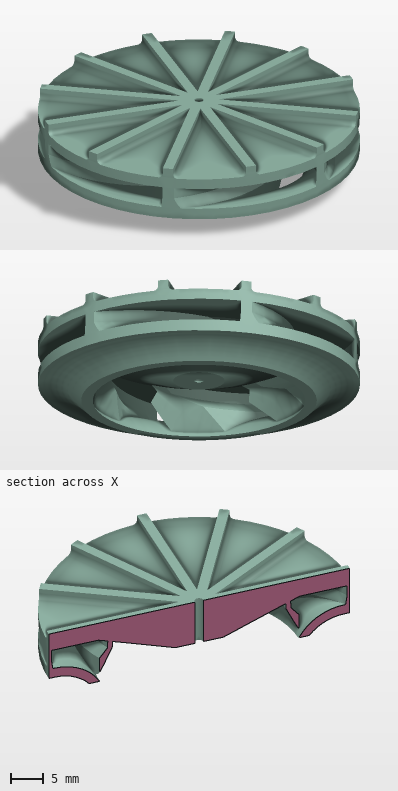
import cadquery as cq
import math

outer_radius = 24.65
total_height = 11.0

rib_height = 1.65
rib_width = 1.6
rib_fillet = 0.75
rib_bar_count = 6
back_disc_thickness = 1.65
back_disc_top = total_height - rib_height
back_disc_bottom = back_disc_top - back_disc_thickness
shaft_hole_diameter = 1.4

hub_radius = 16.5
hub_nose_radius = 3.95
hub_nose_z = 3.2

shroud_rim_bottom = 2.6
shroud_rim_top = 4.4
shroud_wall = shroud_rim_top - shroud_rim_bottom
inlet_outer_radius = 18.05
inlet_radius = inlet_outer_radius - shroud_wall
shroud_flat_inner_radius = 23.65

blade_count = 6
blade_outer_arc = 23.5
blade_thickness = 0.8
blade_inner_arc = blade_outer_arc - blade_thickness
blade_arc_center_x = 10.15
blade_arc_center_y = 3.95
blade_tip_angle = 113.0
blade_end_angle = 188.0
blade_inner_end_radius = 13.8
blade_root_radius = 20.35
blade_root_z = 2.85
foot_flare_height = 1.65
foot_middle_flare = 1.5
foot_end_flare = 0.5


def make_back_disc():
    """Disc with the hub cone hanging under it."""
    profile = [
        (0, hub_nose_z),
        (hub_nose_radius, hub_nose_z),
        (hub_radius, back_disc_bottom),
        (outer_radius, back_disc_bottom),
        (outer_radius, back_disc_top),
        (0, back_disc_top),
    ]
    return cq.Workplane("XZ").polyline(profile).close().revolve(360, (0, 0), (0, 1))


def make_rib_bar():
    """Bar across the full diameter, with a concave fillet along each foot."""
    half_width = rib_width / 2
    foot_half_width = half_width + rib_fillet
    fillet_top = back_disc_top + rib_fillet
    fillet_sag = rib_fillet * (1 - math.sqrt(0.5))
    arc_x = half_width + fillet_sag
    arc_z = back_disc_top + fillet_sag
    return (
        cq.Workplane("XZ", origin=(0, outer_radius, 0))
        .moveTo(-foot_half_width, back_disc_top)
        .threePointArc((-arc_x, arc_z), (-half_width, fillet_top))
        .lineTo(-half_width, total_height)
        .lineTo(half_width, total_height)
        .lineTo(half_width, fillet_top)
        .threePointArc((arc_x, arc_z), (foot_half_width, back_disc_top))
        .close()
        .extrude(2 * outer_radius)
    )


def make_ribs():
    """All rib bars, trimmed to the disc edge."""
    bar = make_rib_bar()
    ribs = bar
    for index in range(1, rib_bar_count):
        ribs = ribs.union(bar.rotate((0, 0, 0), (0, 0, 1), index * 180 / rib_bar_count))
    rim = cq.Workplane("XY").circle(outer_radius).extrude(total_height)
    return ribs.intersect(rim)


def bend_middle(end_radius, flat_z):
    """Middle of the arc that leaves the flat rim level at flat_z and ends at end_radius on Z = 0."""
    run = shroud_flat_inner_radius - end_radius
    bend_radius = (run**2 + flat_z**2) / (2 * flat_z)
    half_turn = math.atan2(flat_z, run)
    return (
        shroud_flat_inner_radius - bend_radius * math.sin(half_turn),
        flat_z - bend_radius * (1 - math.cos(half_turn)),
    )


def make_shroud():
    """Ring with a flat rim, curving down to the inlet on its outer and inner faces."""
    outer_curve_point = bend_middle(inlet_outer_radius, shroud_rim_bottom)
    inner_curve_point = bend_middle(inlet_radius, shroud_rim_top)
    return (
        cq.Workplane("XZ")
        .moveTo(inlet_radius, 0)
        .lineTo(inlet_outer_radius, 0)
        .threePointArc(outer_curve_point, (shroud_flat_inner_radius, shroud_rim_bottom))
        .lineTo(outer_radius, shroud_rim_bottom)
        .lineTo(outer_radius, shroud_rim_top)
        .lineTo(shroud_flat_inner_radius, shroud_rim_top)
        .threePointArc(inner_curve_point, (inlet_radius, 0))
        .close()
        .revolve(360, (0, 0), (0, 1))
    )


def blade_arc_point(radius, angle):
    """Point on an arc about the blade's arc center."""
    turn = math.radians(angle)
    return (
        blade_arc_center_x + radius * math.cos(turn),
        blade_arc_center_y + radius * math.sin(turn),
    )


def add_blade_outline(plane, middle_flare, end_flare):
    """Blade section, thickened on both faces by the flares at its middle and at its inner end."""
    middle_angle = (blade_tip_angle + blade_end_angle) / 2
    return (
        plane.moveTo(*blade_arc_point(blade_outer_arc, blade_tip_angle))
        .threePointArc(
            blade_arc_point(blade_outer_arc + middle_flare, middle_angle),
            blade_arc_point(blade_outer_arc + end_flare, blade_end_angle),
        )
        .lineTo(*blade_arc_point(blade_inner_arc - end_flare, blade_end_angle))
        .threePointArc(
            blade_arc_point(blade_inner_arc - middle_flare, middle_angle),
            blade_arc_point(blade_inner_arc, blade_tip_angle),
        )
        .close()
    )


def make_passage():
    """Body of revolution that the blades fill: it reaches into the shroud wall, the back disc and the hub."""
    hub_slope = (back_disc_bottom - hub_nose_z) / (hub_radius - hub_nose_radius)
    leading_edge_top = back_disc_bottom - hub_slope * (hub_radius - blade_inner_end_radius)
    inlet_wall_middle = (inlet_radius + inlet_outer_radius) / 2
    embedded_top = back_disc_bottom + back_disc_thickness / 2
    outline = [
        (inlet_wall_middle, 0),
        (blade_root_radius, blade_root_z),
        (outer_radius, shroud_rim_top),
        (outer_radius, back_disc_bottom),
        (hub_radius, embedded_top),
        (blade_inner_end_radius, embedded_top),
        (blade_inner_end_radius, leading_edge_top),
    ]
    return cq.Workplane("XZ").polyline(outline).close().revolve(360, (0, 0), (0, 1))


def make_blade():
    """Upright wall with a flared foot, trimmed to the passage."""
    wall = add_blade_outline(cq.Workplane("XY"), 0, 0).extrude(total_height)
    foot = add_blade_outline(cq.Workplane("XY"), foot_middle_flare, foot_end_flare).extrude(shroud_rim_top)
    flare = add_blade_outline(
        cq.Workplane("XY", origin=(0, 0, shroud_rim_top)), foot_middle_flare, foot_end_flare
    )
    flare = add_blade_outline(flare.workplane(offset=foot_flare_height), 0, 0).loft(ruled=True)
    return wall.union(foot).union(flare).intersect(make_passage())


impeller = make_back_disc().union(make_ribs(), clean=False).union(make_shroud())
blade = make_blade()
for index in range(blade_count):
    turned_blade = blade.rotate((0, 0, 0), (0, 0, 1), index * 360 / blade_count)
    impeller = impeller.union(turned_blade, clean=False)

shaft_hole = cq.Workplane("XY").circle(shaft_hole_diameter / 2).extrude(total_height)
result = impeller.cut(shaft_hole, clean=False)